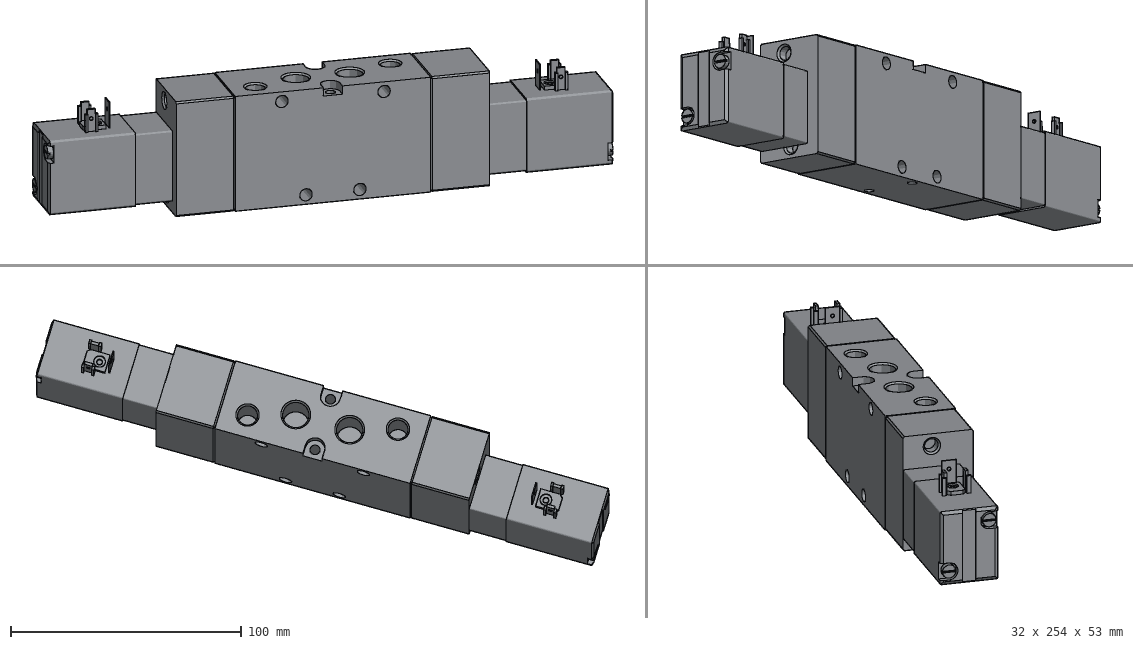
import cadquery as cq
import math

TOTAL_LENGTH = 254.0
BODY_WIDTH = 32.0
BODY_HEIGHT = 53.0
BODY_LENGTH = 88.5

PORT_DEPTH = 15.2
PORT_CHAMFER = 0.8
MAIN_PORT_DIAMETER = 11.5
MAIN_PORT_Y = 12.2
SIDE_PORT_DIAMETER = 8.6
SIDE_PORT_X = 6.0
SIDE_PORT_Y = 32.3

MOUNT_HOLE_DIAMETER = 4.3
MOUNT_HOLE_X = 12.0
MOUNT_RECESS_WIDTH = 8.6
MOUNT_RECESS_DEPTH = 3.8

CROSS_HOLE_DIAMETER = 5.5
CROSS_HOLE_Z = 22.0
UPPER_CROSS_HOLE_Y = 23.0
LOWER_CROSS_HOLE_Y = 12.2

CAP_LENGTH = 26.7
CAP_CHAMFER = 0.8
CAP_HOLE_DIAMETER = 6.0
CAP_HOLE_MOUTH_DIAMETER = 8.0
CAP_HOLE_DEPTH = 5.0
UPPER_CAP_HOLE = (-2.8, 20.8)
LOWER_CAP_HOLE = (1.0, -21.0)

SOLENOID_WIDTH = 26.5
SOLENOID_HEIGHT = 34.0
SOLENOID_LENGTH = 39.4
SOLENOID_TOP = 12.0
SOLENOID_EDGE_RADIUS = 1.0
END_BEVEL_LENGTH = 0.8
END_BEVEL_WIDTH = 1.5
NECK_SIDE_INSET = 0.3
NECK_INSET = 0.8
NECK_EDGE_RADIUS = 0.8
END_GROOVE_WIDTH = 6.0
END_GROOVE_DEPTH = 0.5

SCREW_POCKET_WIDTH = 8.0
SCREW_POCKET_DEPTH = 2.5
SCREW_HEAD_DIAMETER = 6.0
SCREW_SLOT_WIDTH = 0.8
SCREW_SLOT_DEPTH = 1.0
SCREW_X = 9.1
SCREW_Z = 11.0

CONNECTOR_BASE_WIDTH = 8.1
CONNECTOR_BASE_LENGTH = 10.2
CONNECTOR_BASE_HEIGHT = 1.8
CONNECTOR_BASE_INSET = 18.5
CONNECTOR_BASE_CHAMFER = 1.3
CONNECTOR_HOLE_DIAMETER = 2.46
CONNECTOR_BORE_DIAMETER = 5.0
CONNECTOR_BORE_DEPTH = 0.8
CONNECTOR_HOLE_INSET = 25.1
GROUND_BLADE_WIDTH = 6.5
GROUND_BLADE_THICKNESS = 0.5
GROUND_BLADE_HEIGHT = 11.7
GROUND_BLADE_INSET = 30.2
TERMINAL_HOLE_DIAMETER = 1.6
GROUND_BLADE_HOLE_HEIGHT = 7.5

TERMINAL_INSET = 18.8
TERMINAL_LENGTH = 5.5
FLANGE_THICKNESS = 1.0
FLANGE_WIDTH = 1.8
FLANGE_HEIGHT = 8.1
FLANGE_X = 5.5
WEB_THICKNESS = 1.3
WEB_HEIGHT = 10.2
WEB_X = 4.8
WEB_DIMPLE_HEIGHT = 5.8
WEB_DIMPLE_DEPTH = 0.5

END_Y = -TOTAL_LENGTH / 2
CAP_INNER_Y = -BODY_LENGTH / 2
CAP_OUTER_Y = CAP_INNER_Y - CAP_LENGTH
SOLENOID_INNER_Y = END_Y + SOLENOID_LENGTH
SOLENOID_X = (SOLENOID_WIDTH - BODY_WIDTH) / 2
SOLENOID_Z = SOLENOID_TOP - SOLENOID_HEIGHT / 2


def box(width, y_from, y_to, height, x_center=0.0, z_center=0.0):
    return cq.Workplane("XY").box(width, y_to - y_from, height).translate(
        (x_center, (y_from + y_to) / 2, z_center)
    )


def cylinder_along_y(diameter, y_from, y_to, x, z):
    return (
        cq.Workplane("XZ", origin=(x, y_to, z)).circle(diameter / 2).extrude(y_to - y_from)
    )


def port(x, y, diameter):
    top = BODY_HEIGHT / 2
    bore = cq.Workplane("XY", origin=(x, y, top)).circle(diameter / 2).extrude(-PORT_DEPTH)
    mouth = (
        cq.Workplane("XY", origin=(x, y, top))
        .circle(diameter / 2 + PORT_CHAMFER)
        .workplane(offset=-PORT_CHAMFER)
        .circle(diameter / 2)
        .loft()
    )
    return bore.union(mouth)


def mounting_cut(side):
    """Through hole with a U-shaped recess open to the given side (-1 or 1)."""
    x = side * MOUNT_HOLE_X
    floor = BODY_HEIGHT / 2 - MOUNT_RECESS_DEPTH
    hole = (
        cq.Workplane("XY", origin=(x, 0, -BODY_HEIGHT / 2))
        .circle(MOUNT_HOLE_DIAMETER / 2)
        .extrude(BODY_HEIGHT)
    )
    recess_end = (
        cq.Workplane("XY", origin=(x, 0, floor))
        .circle(MOUNT_RECESS_WIDTH / 2)
        .extrude(MOUNT_RECESS_DEPTH)
    )
    recess_mouth = cq.Workplane("XY", origin=(x + side * MOUNT_RECESS_WIDTH / 2, 0, floor)).box(
        MOUNT_RECESS_WIDTH, MOUNT_RECESS_WIDTH, MOUNT_RECESS_DEPTH, centered=(True, True, False)
    )
    return hole.union(recess_end).union(recess_mouth)


def cross_holes():
    places = []
    for side in (-1, 1):
        places.append((side * UPPER_CROSS_HOLE_Y, CROSS_HOLE_Z))
        places.append((side * LOWER_CROSS_HOLE_Y, -CROSS_HOLE_Z))
    return (
        cq.Workplane("YZ", origin=(-BODY_WIDTH / 2, 0, 0))
        .pushPoints(places)
        .circle(CROSS_HOLE_DIAMETER / 2)
        .extrude(BODY_WIDTH)
    )


def make_valve_body():
    body = cq.Workplane("XY").box(BODY_WIDTH, BODY_LENGTH, BODY_HEIGHT)
    for side in (-1, 1):
        body = body.cut(port(0, side * MAIN_PORT_Y, MAIN_PORT_DIAMETER))
        body = body.cut(port(-side * SIDE_PORT_X, side * SIDE_PORT_Y, SIDE_PORT_DIAMETER))
        body = body.cut(mounting_cut(side))
    return body.cut(cross_holes())


def countersunk_cap_hole(x, z):
    mouth_depth = (CAP_HOLE_MOUTH_DIAMETER - CAP_HOLE_DIAMETER) / 2
    bore = cylinder_along_y(CAP_HOLE_DIAMETER, CAP_OUTER_Y, CAP_OUTER_Y + CAP_HOLE_DEPTH, x, z)
    mouth = (
        cq.Workplane("XZ", origin=(x, CAP_OUTER_Y, z))
        .circle(CAP_HOLE_MOUTH_DIAMETER / 2)
        .workplane(offset=-mouth_depth)
        .circle(CAP_HOLE_DIAMETER / 2)
        .loft()
    )
    return bore.union(mouth)


def make_cap():
    cap = box(BODY_WIDTH, CAP_OUTER_Y, CAP_INNER_Y, BODY_HEIGHT)
    cap = cap.edges("|Y or >Y").chamfer(CAP_CHAMFER)
    for x, z in (UPPER_CAP_HOLE, LOWER_CAP_HOLE):
        cap = cap.cut(countersunk_cap_hole(x, z))
    return cap


def make_neck():
    neck = box(
        SOLENOID_WIDTH - 2 * NECK_SIDE_INSET,
        SOLENOID_INNER_Y,
        CAP_OUTER_Y,
        SOLENOID_HEIGHT - 2 * NECK_INSET,
        SOLENOID_X,
        SOLENOID_Z,
    )
    return neck.edges("|Y").fillet(NECK_EDGE_RADIUS)


def add_screw(coil, side):
    """Slotted screw head in a pocket that opens to the given side (-1 or 1)."""
    x = SOLENOID_X + side * SCREW_X
    z = SOLENOID_Z + side * SCREW_Z
    floor_y = END_Y + SCREW_POCKET_DEPTH
    pocket = cylinder_along_y(SCREW_POCKET_WIDTH, END_Y, floor_y, x, z)
    mouth = box(
        SCREW_POCKET_WIDTH, END_Y, floor_y, SCREW_POCKET_WIDTH, x + side * SCREW_POCKET_WIDTH / 2, z
    )
    head = cylinder_along_y(SCREW_HEAD_DIAMETER, END_Y, floor_y, x, z)
    slot = box(SCREW_HEAD_DIAMETER, END_Y, END_Y + SCREW_SLOT_DEPTH, SCREW_SLOT_WIDTH, x, z)
    return coil.cut(pocket.union(mouth)).union(head.cut(slot))


def make_coil_block():
    """Block with rounded long edges and a bevel around its outer end."""
    bevel_y = END_Y + END_BEVEL_LENGTH
    bevel_angle = math.degrees(math.atan2(END_BEVEL_WIDTH, END_BEVEL_LENGTH))
    block = box(
        SOLENOID_WIDTH, bevel_y, SOLENOID_INNER_Y, SOLENOID_HEIGHT, SOLENOID_X, SOLENOID_Z
    )
    bevel = (
        cq.Workplane("XZ", origin=(SOLENOID_X, bevel_y, SOLENOID_Z))
        .rect(SOLENOID_WIDTH, SOLENOID_HEIGHT)
        .extrude(END_BEVEL_LENGTH, taper=bevel_angle)
    )
    return block.union(bevel).edges("|Y").fillet(SOLENOID_EDGE_RADIUS)


def make_solenoid():
    coil = make_coil_block()
    groove = box(
        END_GROOVE_WIDTH, END_Y, END_Y + END_GROOVE_DEPTH, SOLENOID_HEIGHT, SOLENOID_X, SOLENOID_Z
    )
    coil = coil.cut(groove)
    for side in (-1, 1):
        coil = add_screw(coil, side)
    return coil


def standing_block(width, inset, length, height, x):
    """Block standing on the solenoid, starting at an inset from its outer end."""
    start = END_Y + inset
    return box(width, start, start + length, height, x, SOLENOID_TOP + height / 2)


def make_ground_blade():
    blade = standing_block(
        GROUND_BLADE_WIDTH, GROUND_BLADE_INSET, GROUND_BLADE_THICKNESS, GROUND_BLADE_HEIGHT, SOLENOID_X
    )
    start = END_Y + GROUND_BLADE_INSET
    hole = cylinder_along_y(
        TERMINAL_HOLE_DIAMETER,
        start,
        start + GROUND_BLADE_THICKNESS,
        SOLENOID_X,
        SOLENOID_TOP + GROUND_BLADE_HOLE_HEIGHT,
    )
    return blade.cut(hole)


def make_connector_base():
    base = standing_block(
        CONNECTOR_BASE_WIDTH,
        CONNECTOR_BASE_INSET,
        CONNECTOR_BASE_LENGTH,
        CONNECTOR_BASE_HEIGHT,
        SOLENOID_X,
    )
    base = base.faces("<Y").edges("|Z").chamfer(CONNECTOR_BASE_CHAMFER)
    hole_y = END_Y + CONNECTOR_HOLE_INSET
    base_top = SOLENOID_TOP + CONNECTOR_BASE_HEIGHT
    top_plane = cq.Workplane("XY", origin=(SOLENOID_X, hole_y, base_top))
    hole = top_plane.circle(CONNECTOR_HOLE_DIAMETER / 2).extrude(-CONNECTOR_BASE_HEIGHT)
    bore = top_plane.circle(CONNECTOR_BORE_DIAMETER / 2).extrude(-CONNECTOR_BORE_DEPTH)
    return base.cut(hole).cut(bore)


def make_side_terminal(side):
    """H-shaped terminal with a dimple in the outer face of its web, on the given side (-1 or 1)."""
    web_x = SOLENOID_X + side * WEB_X
    flange_x = SOLENOID_X + side * FLANGE_X
    web_length = TERMINAL_LENGTH - 2 * FLANGE_THICKNESS
    web_inset = TERMINAL_INSET + FLANGE_THICKNESS
    terminal = standing_block(WEB_THICKNESS, web_inset, web_length, WEB_HEIGHT, web_x)
    dimple_y = END_Y + TERMINAL_INSET + TERMINAL_LENGTH / 2
    outer_x = web_x + side * WEB_THICKNESS / 2
    dimple = (
        cq.Workplane("YZ", origin=(outer_x, dimple_y, SOLENOID_TOP + WEB_DIMPLE_HEIGHT))
        .circle(TERMINAL_HOLE_DIAMETER / 2)
        .extrude(-side * WEB_DIMPLE_DEPTH)
    )
    terminal = terminal.cut(dimple)
    for inset in (TERMINAL_INSET, TERMINAL_INSET + TERMINAL_LENGTH - FLANGE_THICKNESS):
        flange = standing_block(FLANGE_WIDTH, inset, FLANGE_THICKNESS, FLANGE_HEIGHT, flange_x)
        terminal = terminal.union(flange)
    return terminal


def make_connector():
    connector = make_connector_base().union(make_ground_blade())
    for side in (-1, 1):
        connector = connector.union(make_side_terminal(side))
    return connector


def make_pilot_head(turn):
    """End cap, neck, solenoid and connector as one solid, turned about Z."""
    head = make_cap().union(make_neck()).union(make_solenoid()).union(make_connector())
    return head.rotate((0, 0, 0), (0, 0, 1), turn)


valve_body = make_valve_body()
pilot_heads = [make_pilot_head(turn) for turn in (0, 180)]

result = cq.Compound.makeCompound([valve_body.val(), *[head.val() for head in pilot_heads]])